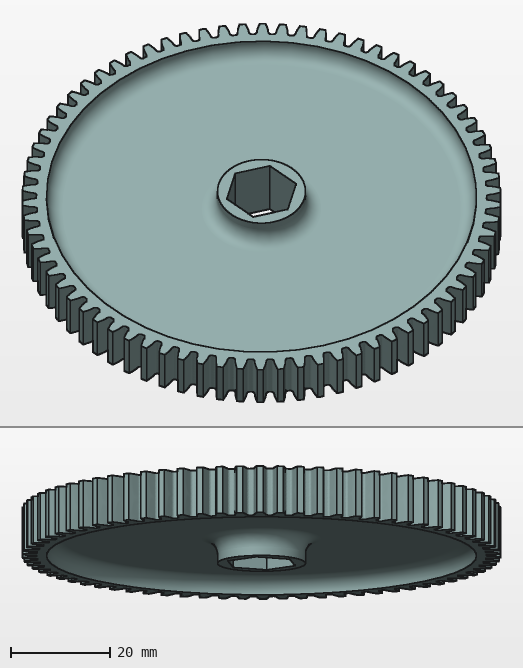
import cadquery as cq
import math

tooth_count = 74
outer_diameter = 96.5
pressure_angle = math.radians(14.5)
dedendum_factor = 1.25
root_round = 0.4
flank_steps = 4

gear_width = 9.6
pocket_diameter = 86.8
pocket_depth = 3.5
pocket_fillet = 3.2

hub_width = 12.6
hub_diameter = 17.8
hex_across_flats = 12.6

gear_module = outer_diameter / (tooth_count + 2)
outer_radius = outer_diameter / 2
pitch_radius = gear_module * tooth_count / 2
base_radius = pitch_radius * math.cos(pressure_angle)
root_radius = pitch_radius - dedendum_factor * gear_module
tooth_pitch = 2 * math.pi / tooth_count


def polar(radius, angle):
    return (radius * math.cos(angle), radius * math.sin(angle))


def involute(angle):
    return math.tan(angle) - angle


def half_tooth_angle(radius):
    """Angle from the tooth centreline to its flank; the flank is radial below the base circle."""
    flank_angle = math.acos(min(1.0, base_radius / radius))
    return tooth_pitch / 4 + involute(pressure_angle) - involute(flank_angle)


def gap_points(centre):
    """Points from tip to tip around one tooth gap, counterclockwise, rounded at the root."""
    flank_foot = root_radius + root_round
    flank_step = (outer_radius - flank_foot) / flank_steps
    flank_radii = [outer_radius - i * flank_step for i in range(flank_steps + 1)]
    flank_offsets = [tooth_pitch / 2 - half_tooth_angle(r) for r in flank_radii]
    root_offset = tooth_pitch / 2 - half_tooth_angle(root_radius) - root_round / root_radius

    radii = flank_radii + [root_radius]
    offsets = flank_offsets + [root_offset]
    first_side = [polar(r, centre - offset) for r, offset in zip(radii, offsets)]
    second_side = [polar(r, centre + offset) for r, offset in zip(radii, offsets)]
    root_middle = polar(root_radius, centre)
    return first_side + [root_middle] + second_side[::-1]


def make_toothed_disc():
    first_tooth = math.pi / 2
    tooth_angles = [first_tooth + i * tooth_pitch for i in range(tooth_count)]
    tip_half_angle = half_tooth_angle(outer_radius)

    outline = cq.Workplane("XY", origin=(0, 0, -gear_width / 2))
    outline = outline.moveTo(*polar(outer_radius, first_tooth - tip_half_angle))
    for angle in tooth_angles:
        tip_middle = polar(outer_radius, angle)
        tip_end = polar(outer_radius, angle + tip_half_angle)
        outline = outline.threePointArc(tip_middle, tip_end)
        flank_and_root = gap_points(angle + tooth_pitch / 2)
        outline = outline.spline(flank_and_root[1:], includeCurrent=True)
    return outline.close().extrude(gear_width)


def make_pocket():
    """Ring-shaped recess, resting on XY, with both floor edges rounded."""
    ring = cq.Workplane("XY").circle(pocket_diameter / 2).circle(hub_diameter / 2)
    return ring.extrude(pocket_depth).faces("<Z").edges().fillet(pocket_fillet)


hub = cq.Workplane("XY").circle(hub_diameter / 2).extrude(hub_width / 2, both=True)

hex_corner_diameter = hex_across_flats / math.cos(math.pi / 6)
hex_bore = (
    cq.Workplane("XY")
    .transformed(rotate=(0, 0, 90))
    .polygon(6, hex_corner_diameter)
    .extrude(hub_width, both=True)
)

top_pocket = make_pocket().translate((0, 0, gear_width / 2 - pocket_depth))
bottom_pocket = top_pocket.mirror("XY")

result = make_toothed_disc().cut(top_pocket).cut(bottom_pocket).union(hub).cut(hex_bore)